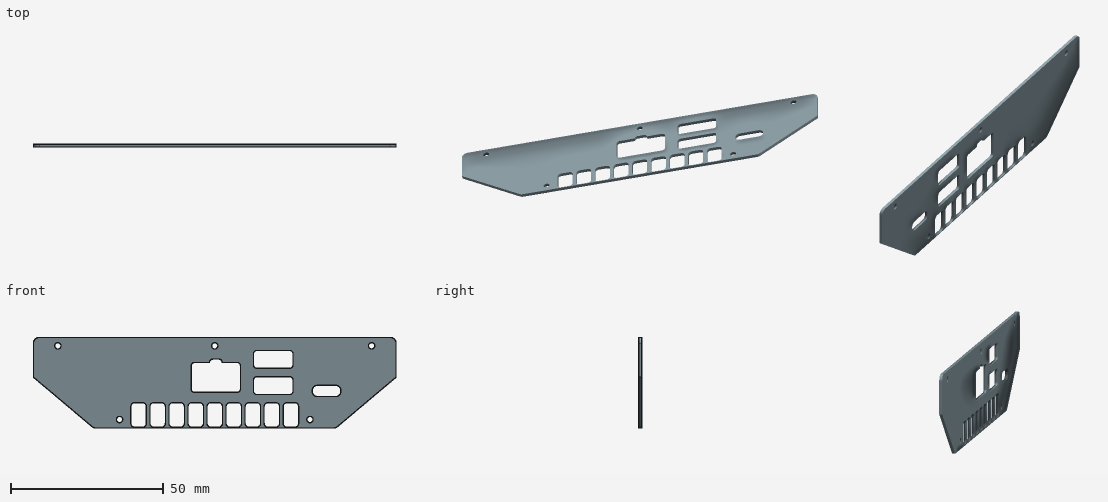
import cadquery as cq

PLATE_WIDTH = 119.14
PLATE_HEIGHT = 29.8
PLATE_THICKNESS = 1.0
BOTTOM_EDGE_WIDTH = 79.5
SIDE_EDGE_HEIGHT = 13.1
TOP_CORNER_RADIUS = 2.0
BOTTOM_CORNER_RADIUS = 2.0

SCREW_HOLE_DIAMETER = 2.0
SCREW_ROW_Z = 12.1
UPPER_SCREW_X = 51.5
LOWER_SCREW_X = 31.25

BUTTON_COUNT = 9
BUTTON_PITCH = 6.25
BUTTON_WIDTH = 5.0
BUTTON_HEIGHT = 8.0
BUTTON_CORNER_RADIUS = 1.2
BUTTON_BOTTOM_MARGIN = 0.3

SOCKET_WIDTH = 16.1
SOCKET_HEIGHT = 9.7
SOCKET_X = 0.35
SOCKET_Z = 1.75
SOCKET_CORNER_RADIUS = 1.0
RELIEF_WIDTH = 4.1
RELIEF_RISE = 1.1
RELIEF_CORNER_RADIUS = 1.0

CONNECTOR_WIDTH = 12.9
CONNECTOR_HEIGHT = 5.75
CONNECTOR_X = 19.2
CONNECTOR_UPPER_Z = 7.65
CONNECTOR_SPACING = 8.6
CONNECTOR_CORNER_RADIUS = 1.0

SMALL_WIDTH = 9.3
SMALL_HEIGHT = 3.6
SMALL_X = 36.7
SMALL_Z = -2.7
SMALL_CORNER_RADIUS = 1.6


def front_plane():
    """Workplane at the middle of the thickness: local x is X, local y is Z."""
    return cq.Workplane("XZ")


def extrude_through(sketch):
    """Extrude a closed outline through the full plate thickness."""
    return sketch.extrude(PLATE_THICKNESS / 2, both=True)


def make_plate():
    half_width = PLATE_WIDTH / 2
    half_height = PLATE_HEIGHT / 2
    half_bottom = BOTTOM_EDGE_WIDTH / 2
    slope_top_z = half_height - SIDE_EDGE_HEIGHT
    outline = front_plane().polyline([
        (-half_width, half_height),
        (half_width, half_height),
        (half_width, slope_top_z),
        (half_bottom, -half_height),
        (-half_bottom, -half_height),
        (-half_width, slope_top_z),
    ]).close()
    plate = extrude_through(outline)
    plate = plate.faces(">Z").edges("|Y").fillet(TOP_CORNER_RADIUS)
    return plate.faces("<Z").edges("|Y").fillet(BOTTOM_CORNER_RADIUS)


def rounded_window(x, z, width, height, corner_radius):
    window = extrude_through(front_plane().center(x, z).rect(width, height))
    return window.edges("|Y").fillet(corner_radius)


def screw_holes():
    centres = [
        (-UPPER_SCREW_X, SCREW_ROW_Z),
        (0, SCREW_ROW_Z),
        (UPPER_SCREW_X, SCREW_ROW_Z),
        (-LOWER_SCREW_X, -SCREW_ROW_Z),
        (LOWER_SCREW_X, -SCREW_ROW_Z),
    ]
    return extrude_through(front_plane().pushPoints(centres).circle(SCREW_HOLE_DIAMETER / 2))


def button_windows():
    row_z = -PLATE_HEIGHT / 2 + BUTTON_BOTTOM_MARGIN + BUTTON_HEIGHT / 2
    row = front_plane().center(0, row_z).rarray(BUTTON_PITCH, 1, BUTTON_COUNT, 1)
    windows = extrude_through(row.rect(BUTTON_WIDTH, BUTTON_HEIGHT))
    return windows.edges("|Y").fillet(BUTTON_CORNER_RADIUS)


def socket_window():
    window = rounded_window(SOCKET_X, SOCKET_Z, SOCKET_WIDTH, SOCKET_HEIGHT, SOCKET_CORNER_RADIUS)
    top_z = SOCKET_Z + SOCKET_HEIGHT / 2
    relief = rounded_window(SOCKET_X, top_z, RELIEF_WIDTH, 2 * RELIEF_RISE, RELIEF_CORNER_RADIUS)
    return window.union(relief)


def connector_window(z):
    return rounded_window(CONNECTOR_X, z, CONNECTOR_WIDTH, CONNECTOR_HEIGHT, CONNECTOR_CORNER_RADIUS)


def small_window():
    return rounded_window(SMALL_X, SMALL_Z, SMALL_WIDTH, SMALL_HEIGHT, SMALL_CORNER_RADIUS)


result = (
    make_plate()
    .cut(screw_holes())
    .cut(button_windows())
    .cut(socket_window())
    .cut(connector_window(CONNECTOR_UPPER_Z))
    .cut(connector_window(CONNECTOR_UPPER_Z - CONNECTOR_SPACING))
    .cut(small_window())
)